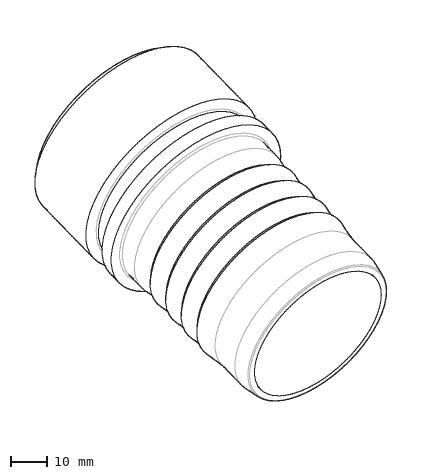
import cadquery as cq

length = 91.0
body_end = 25.0
body_shoulder_length = 1.0
flange_start = 31.9
flange_width = 4.1
first_taper_start = 42.0
barb_pitch = 7.0
barb_count = 4
barb_rise_length = 0.7
nose_start = 86.0

body_diameter = 59.6
neck_diameter = 53.0
flange_diameter = 59.0
barb_diameter = 52.0
root_diameter = 50.0
nose_diameter = 48.05
bore_diameter = 44.0

body_chamfer = 2.0
bore_chamfer = 1.0
root_fillet = 0.55
nose_fillet = 0.4

body_radius = body_diameter / 2
neck_radius = neck_diameter / 2
flange_radius = flange_diameter / 2
barb_radius = barb_diameter / 2
root_radius = root_diameter / 2
nose_radius = nose_diameter / 2
bore_radius = bore_diameter / 2

neck_start = body_end + body_shoulder_length
flange_end = flange_start + flange_width
barb_crests = [first_taper_start + barb_pitch * (i + 1) for i in range(barb_count)]
tail_start = barb_crests[-1] + barb_pitch


def half_section():
    """Material between the bore and the outside, as (axial, radial) points."""
    points = [
        (0, bore_radius + bore_chamfer),
        (0, body_radius - body_chamfer),
        (body_chamfer, body_radius),
        (body_end, body_radius),
        (neck_start, neck_radius),
        (flange_start, neck_radius),
        (flange_start, flange_radius),
        (flange_end, flange_radius),
        (flange_end, barb_radius),
        (first_taper_start, barb_radius),
    ]
    for crest in barb_crests:
        points.append((crest - barb_rise_length, root_radius))
        points.append((crest, barb_radius))
    points += [
        (tail_start, root_radius),
        (nose_start, root_radius),
        (length, nose_radius),
        (length, bore_radius),
        (bore_chamfer, bore_radius),
    ]
    return cq.Workplane("XY").polyline(points).close()


def circle_at(x, radius):
    """Selector box that catches the circular edge centred on the axis at x."""
    margin = 0.05
    return cq.selectors.BoxSelector(
        (x - margin, -radius - margin, -radius - margin),
        (x + margin, radius + margin, radius + margin),
        boundingbox=True,
    )


fitting = half_section().revolve(360, (0, 0, 0), (1, 0, 0))

fillet_corners = [
    (neck_start, neck_radius),
    (flange_start, neck_radius),
    (flange_end, barb_radius),
]
fillet_corners += [(crest - barb_rise_length, root_radius) for crest in barb_crests]
for x, radius in fillet_corners:
    fitting = fitting.edges(circle_at(x, radius)).fillet(root_fillet)

nose_rim = circle_at(length, nose_radius) - circle_at(length, bore_radius)
result = fitting.edges(nose_rim).fillet(nose_fillet)